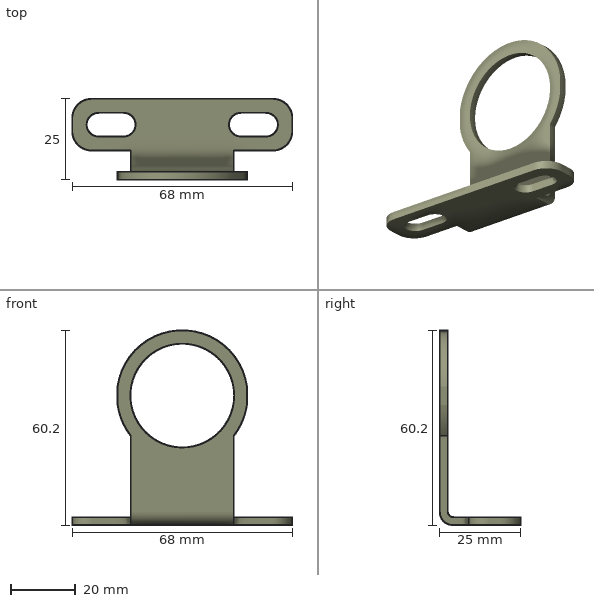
import cadquery as cq

length = 68.0
depth = 25.0
thickness = 2.5
outer_bend_radius = 4.0
inner_bend_radius = 1.7
inner_bend_end = thickness + inner_bend_radius

neck_width = 31.8
ring_center_height = 40.0
ring_radius = 20.2
ring_width = 40.0
bore_diameter = 31.95

foot_depth = 16.05
foot_corner_radius = 6.05
foot_center_y = depth - foot_depth / 2
slot_length = 15.0
slot_width = 7.2
slot_spacing = 43.9


def make_bent_strip():
    """L-shaped strip with a rounded bend, running from foot to ring center."""
    return (
        cq.Workplane("YZ")
        .moveTo(0, ring_center_height)
        .lineTo(0, outer_bend_radius)
        .radiusArc((outer_bend_radius, 0), -outer_bend_radius)
        .lineTo(foot_center_y, 0)
        .lineTo(foot_center_y, thickness)
        .lineTo(inner_bend_end, thickness)
        .radiusArc((thickness, inner_bend_end), inner_bend_radius)
        .lineTo(thickness, ring_center_height)
        .close()
        .extrude(neck_width / 2, both=True)
    )


def make_foot():
    """Wide flat foot with rounded corners, before the slots are cut."""
    return (
        cq.Workplane("XY")
        .center(0, foot_center_y)
        .rect(length, foot_depth)
        .extrude(thickness)
        .edges("|Z")
        .fillet(foot_corner_radius)
    )


def make_ring_disc():
    """Solid disc at the top of the upright, with flat sides."""
    disc = (
        cq.Workplane("XZ")
        .center(0, ring_center_height)
        .circle(ring_radius)
        .extrude(-thickness)
    )
    side_trim = (
        cq.Workplane("XZ")
        .center(0, ring_center_height)
        .rect(ring_width, 2 * ring_radius)
        .extrude(-thickness)
    )
    return disc.intersect(side_trim)


def make_bore():
    return (
        cq.Workplane("XZ")
        .center(0, ring_center_height)
        .circle(bore_diameter / 2)
        .extrude(-thickness)
    )


def make_slots():
    return (
        cq.Workplane("XY")
        .center(0, foot_center_y)
        .pushPoints([(-slot_spacing / 2, 0), (slot_spacing / 2, 0)])
        .slot2D(slot_length, slot_width)
        .extrude(thickness)
    )


bracket = make_bent_strip().union(make_foot()).union(make_ring_disc())
result = bracket.cut(make_bore()).cut(make_slots())